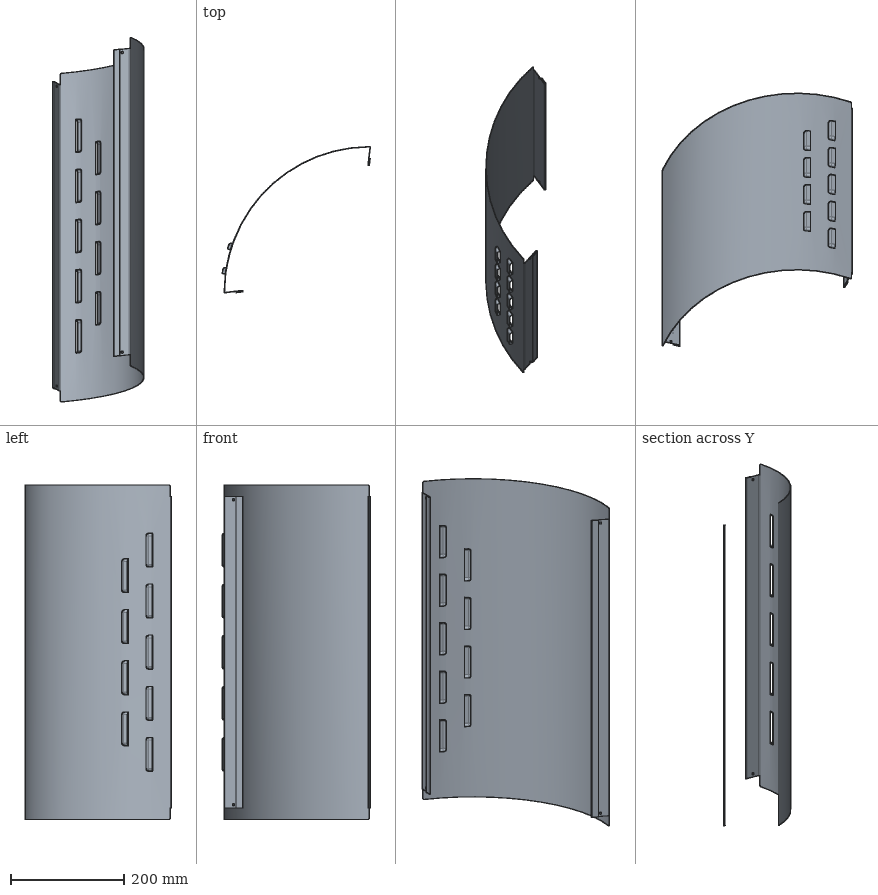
import cadquery as cq
import math


SHEET = 1.0
HEIGHT = 590.0
FOOTPRINT = 258.04
SHELL_CORNER_RADIUS = 3.0

BEND_INNER_RADIUS = 0.7
FLANGE_END_INSET = 20.0
FLANGE_TILT = 7.0
FLANGE_REACH = 33.5
HEM_WIDTH = 13.0
HEM_GAP = 1.2
HOLE_DIAMETER = 4.0
HOLE_FROM_FACE = 16.5
HOLE_FROM_END = 6.0

LOUVER_LENGTH = 60.0
LOUVER_WIDTH = 12.0
LOUVER_RISE = 5.55
LOUVER_CORNER_RADIUS = 5.0
LOUVER_CROWN_RADIUS = 4.95
LOUVER_PITCH = 90.0
LOUVER_ROWS = [(8.4, 5), (18.2, 4)]

BEND_OUTER_RADIUS = BEND_INNER_RADIUS + SHEET
OUTER_RADIUS = FOOTPRINT - BEND_OUTER_RADIUS
INNER_RADIUS = OUTER_RADIUS - SHEET
FLANGE_HEIGHT = HEIGHT - 2 * FLANGE_END_INSET


def polar(radius, degrees):
    """Point at a radius and an angle from +X."""
    angle = math.radians(degrees)
    return radius * math.cos(angle), radius * math.sin(angle)


def make_shell():
    """Quarter-cylinder sheet from the -X axis to the +Y axis, with rounded corners."""
    shell = (
        cq.Workplane("XY", origin=(0, 0, -HEIGHT / 2))
        .moveTo(-OUTER_RADIUS, 0)
        .threePointArc(polar(OUTER_RADIUS, 135), (0, OUTER_RADIUS))
        .lineTo(0, INNER_RADIUS)
        .threePointArc(polar(INNER_RADIUS, 135), (-INNER_RADIUS, 0))
        .close()
        .extrude(HEIGHT)
    )
    return shell.edges("|X or |Y").fillet(SHELL_CORNER_RADIUS)


def make_flange():
    """Flange on the shell edge at the -X axis: bend, plate and outward hem with end holes."""
    bottom = -FLANGE_HEIGHT / 2
    bend_x = -OUTER_RADIUS + BEND_OUTER_RADIUS
    bend_end = 270 + FLANGE_TILT
    bend_middle = (180 + bend_end) / 2

    bend = (
        cq.Workplane("XY", origin=(bend_x, 0, bottom))
        .moveTo(-BEND_OUTER_RADIUS, 0)
        .threePointArc(polar(BEND_OUTER_RADIUS, bend_middle), polar(BEND_OUTER_RADIUS, bend_end))
        .lineTo(*polar(BEND_INNER_RADIUS, bend_end))
        .threePointArc(polar(BEND_INNER_RADIUS, bend_middle), (-BEND_INNER_RADIUS, 0))
        .close()
        .extrude(FLANGE_HEIGHT)
    )

    start_x, start_y = polar(BEND_OUTER_RADIUS, bend_end)
    along = polar(1.0, FLANGE_TILT)
    plate_plane = cq.Plane(
        origin=(bend_x + start_x, start_y, bottom), xDir=(along[0], along[1], 0), normal=(0, 0, 1)
    )
    hem_inner_radius = HEM_GAP / 2
    hem_outer_radius = hem_inner_radius + SHEET
    tip = FLANGE_REACH - BEND_OUTER_RADIUS
    fold = tip - hem_outer_radius
    hem_edge = tip - HEM_WIDTH
    hem_outer_face = -HEM_GAP - SHEET
    plate = (
        cq.Workplane(plate_plane)
        .moveTo(0, SHEET)
        .lineTo(fold, SHEET)
        .threePointArc((tip, -hem_inner_radius), (fold, hem_outer_face))
        .lineTo(hem_edge, hem_outer_face)
        .lineTo(hem_edge, -HEM_GAP)
        .lineTo(fold, -HEM_GAP)
        .threePointArc((fold + hem_inner_radius, -hem_inner_radius), (fold, 0))
        .lineTo(0, 0)
        .close()
        .extrude(FLANGE_HEIGHT)
    )

    hole_plane = cq.Plane(
        origin=plate_plane.origin, xDir=plate_plane.xDir, normal=-plate_plane.yDir
    )
    hole_x = HOLE_FROM_FACE - BEND_OUTER_RADIUS
    hole_heights = [HOLE_FROM_END, FLANGE_HEIGHT - HOLE_FROM_END]
    holes = (
        cq.Workplane(hole_plane)
        .pushPoints([(hole_x, height) for height in hole_heights])
        .circle(HOLE_DIAMETER / 2)
        .extrude(-SHEET)
    )
    return bend.union(plate).cut(holes)


def make_hood(inset):
    """Rounded louver body shrunk by inset, centred on the -X axis and open towards -Y.

    It starts inside the shell so that it passes fully through the sheet.
    """
    foot = INNER_RADIUS - SHEET
    crown = OUTER_RADIUS + LOUVER_RISE - inset
    closed_side = LOUVER_WIDTH / 2 - inset
    open_side = -LOUVER_WIDTH / 2
    half_length = LOUVER_LENGTH / 2 - inset
    hood = (
        cq.Workplane("XY", origin=(-crown, open_side, -half_length))
        .box(crown - foot, closed_side - open_side, 2 * half_length, centered=False)
    )
    hood = hood.edges("|X and >Y").fillet(LOUVER_CORNER_RADIUS - inset)
    return hood.faces("<X").edges("not <Y").fillet(LOUVER_CROWN_RADIUS - inset)


def louver_places():
    """Angle and height of every louver."""
    for angle, count in LOUVER_ROWS:
        for index in range(count):
            yield angle, (index - (count - 1) / 2) * LOUVER_PITCH


def add_louvers(body):
    """Press every louver outwards, leaving a slot open on its -Y side."""
    core = cq.Workplane("XY").circle(INNER_RADIUS).extrude(LOUVER_LENGTH, both=True)
    outer = make_hood(0).cut(core)
    inner = make_hood(SHEET)
    for angle, height in louver_places():
        place = cq.Location(cq.Vector(0, 0, height), cq.Vector(0, 0, 1), -angle)
        body = body.union(cq.Workplane(outer.val().moved(place)))
        body = body.cut(cq.Workplane(inner.val().moved(place)))
    return body


flange = make_flange()
opposite_flange = flange.mirror((1, 1, 0))
result = add_louvers(make_shell()).union(flange).union(opposite_flange)